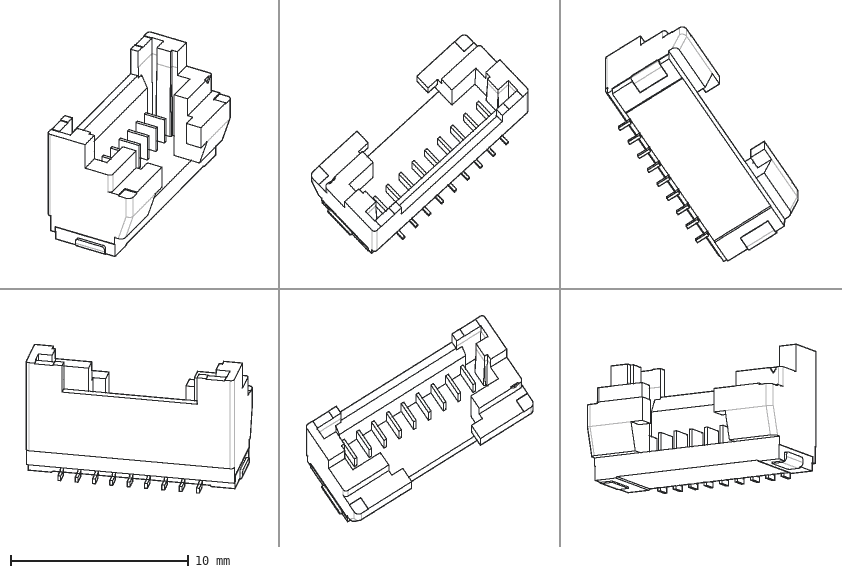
import cadquery as cq


rear_x = 0.3
rear_step_x = 0.53
base_rear_x = 0.82
base_front_x = 4.64
tower_front_x = 2.75
shoulder_x = 4.42
front_x = 5.67
slope_end_x = 5.18
top_z = 7.05
shoulder_z = 5.48
latch_z = 4.34
knee_z = 2.98
latch_bottom_z = 1.38
rear_step_z = 1.55
rear_bottom_z = 0.56
half_width = 6.0
rear_radius = 0.2
front_radius = 0.3

base_half_width = 5.97
base_top_z = 0.91
base_end_z = 0.08
base_middle_z = 0.153
base_end_inner_y = 4.62

pocket_rear_x = 0.78
key_rear_x = 1.53
key_front_x = 2.4
pocket_front_x = 3.55
pocket_half_width = 5.52
key_half_width = 4.73
pocket_front_half_width = 4.91
floor_z = latch_bottom_z
draft_start_z = 5.98
draft_angle = 1.0
opening_half_width = 3.05

notch_half_width = 3.9
notch_z = 5.4
rib_half_width = 4.26
lead_top_x = 0.74
rib_x = 1.16
lead_bottom_z = 4.51

dip_inner_y = 4.42
dip_outer_y = 5.49
dip_depth = 0.043
corner_recess_x = 4.89
corner_recess_y = 5.24
corner_recess_depth = 0.07
marker_y = 5.46
marker_half_width = 0.25
marker_height = 0.34
marker_depth = 0.09
arm_rear_x = 4.74
arm_inner_y = 2.32

contact_count = 9
row_length = 8.0
pitch = row_length / (contact_count - 1)
contact_width = 0.17
foot_height = 0.31
foot_length = 0.76
foot_bend_x = 0.54
shank_bottom_z = 0.17
shank_top_z = 0.42
blade_front_x = 2.45
blade_top_z = 2.94

clip_rear_x = 2.18
clip_front_x = 4.04
clip_outer_y = 6.12
clip_inner_y = 5.18
clip_height = 0.6
clip_bend_radius = 0.31
clip_corner_radius = 0.16

overlap = 0.12


def block(x, y, z):
    """Axis-aligned box from (low, high) pairs."""
    return (
        cq.Workplane("XY")
        .box(x[1] - x[0], y[1] - y[0], z[1] - z[0], centered=False)
        .translate((x[0], y[0], z[0]))
    )


def profile(points, half):
    """Outline in X and Z, extruded symmetrically in Y."""
    return cq.Workplane("XZ").polyline(points).close().extrude(half, both=True)


def both_ends(body):
    """A body at the +Y end together with its mirror image."""
    return body.union(body.mirror("XZ"))


def make_shell():
    """Solid stepped housing with rounded corners."""
    rear = block((rear_x, tower_front_x), (-half_width, half_width), (rear_step_z, top_z))
    rear = rear.edges("|Z and <X").fillet(rear_radius)
    middle = block((tower_front_x, shoulder_x), (-half_width, half_width), (base_top_z, shoulder_z))
    middle = middle.edges("|Z and >X").fillet(rear_radius)
    lower = block((rear_step_x, base_front_x), (-half_width, half_width), (base_top_z, rear_step_z))
    lip = block((rear_step_x, base_rear_x), (-half_width, half_width), (rear_bottom_z, base_top_z))
    front_outline = [
        (tower_front_x, latch_bottom_z),
        (slope_end_x, latch_bottom_z),
        (front_x, knee_z),
        (front_x, latch_z),
        (tower_front_x, latch_z),
    ]
    front = profile(front_outline, half_width)
    front_corners = cq.selectors.BoxSelector(
        (slope_end_x - overlap, -clip_outer_y, latch_bottom_z), (front_x + overlap, clip_outer_y, latch_z)
    )
    front = front.edges(front_corners).edges("not(|Y or |X)").fillet(front_radius)
    return rear.union(middle).union(lower).union(lip).union(front)


def make_base():
    """Narrower foot of the housing, raised slightly between its two ends."""
    rise = base_middle_z - base_end_z
    outline = [
        (-base_half_width, base_end_z),
        (-base_end_inner_y, base_end_z),
        (-base_end_inner_y + rise, base_middle_z),
        (base_end_inner_y - rise, base_middle_z),
        (base_end_inner_y, base_end_z),
        (base_half_width, base_end_z),
        (base_half_width, base_top_z),
        (-base_half_width, base_top_z),
    ]
    base = cq.Workplane("YZ").polyline(outline).close().extrude(base_front_x - base_rear_x)
    return base.translate((base_rear_x, 0, 0))


def make_pocket():
    """Keyed pocket: upright near the top, then drafted to the floor except on its front wall."""
    deep_x = pocket_front_x + overlap
    half_outline = [
        (pocket_rear_x, pocket_half_width),
        (key_rear_x, pocket_half_width),
        (key_rear_x, key_half_width),
        (key_front_x, key_half_width),
        (key_front_x, pocket_front_half_width),
        (deep_x, pocket_front_half_width),
    ]
    outline = half_outline + [(x, -y) for x, y in reversed(half_outline)]
    plane = cq.Workplane("XY", origin=(0, 0, draft_start_z))
    upper = plane.polyline(outline).close().extrude(top_z + overlap - draft_start_z)
    lower = plane.polyline(outline).close().extrude(floor_z - draft_start_z, taper=draft_angle)
    front_limit = block((0, pocket_front_x), (-half_width, half_width), (floor_z, top_z + overlap))
    pocket = upper.union(lower).intersect(front_limit)
    opening = block(
        (pocket_front_x - overlap, front_x + overlap),
        (-opening_half_width, opening_half_width),
        (floor_z, top_z),
    )
    return pocket.union(opening)


def make_rib():
    """Rib along the inside of the rear wall, with a sloped lead-in on top."""
    outline = [
        (rear_step_x, floor_z - overlap),
        (rib_x, floor_z - overlap),
        (rib_x, lead_bottom_z),
        (lead_top_x, notch_z),
        (rear_step_x, notch_z),
    ]
    return profile(outline, rib_half_width)


def make_notch():
    """Opening in the rear wall; its floor continues into the lead-in of the rib."""
    outline = [
        (rear_x - overlap, notch_z),
        (lead_top_x, notch_z),
        (rib_x, lead_bottom_z),
        (rib_x, top_z + overlap),
        (rear_x - overlap, top_z + overlap),
    ]
    return profile(outline, notch_half_width)


def make_dip():
    """Shallow dip across the top of the rear wall, beside the pocket."""
    return block(
        (rear_x, pocket_rear_x + overlap), (dip_inner_y, dip_outer_y), (top_z - dip_depth, top_z)
    )


def make_corner_recess():
    """Shallow step in the top of the front corner."""
    return block(
        (corner_recess_x, front_x), (corner_recess_y, half_width), (latch_z - corner_recess_depth, latch_z)
    )


def make_marker():
    """Shallow triangular mark in the front of the +Y shoulder, pointing down from its top edge."""
    outline = [
        (marker_y - marker_half_width, shoulder_z),
        (marker_y, shoulder_z - marker_height),
        (marker_y + marker_half_width, shoulder_z),
    ]
    mark = cq.Workplane("YZ").polyline(outline).close().extrude(marker_depth)
    return mark.translate((shoulder_x - marker_depth, 0, 0))


def make_latch_arm():
    """Arm reaching inward across the front opening."""
    return block((arm_rear_x, front_x), (arm_inner_y, opening_half_width + overlap), (knee_z, latch_z))


def make_contact():
    """Soldering foot behind the base and upright blade in the pocket."""
    foot_outline = [
        (0, 0),
        (foot_length, 0),
        (foot_length, shank_bottom_z),
        (base_rear_x + overlap, shank_bottom_z),
        (base_rear_x + overlap, shank_top_z),
        (base_rear_x, shank_top_z),
        (foot_bend_x, foot_height),
        (0, foot_height),
    ]
    foot = profile(foot_outline, contact_width / 2)
    blade = block(
        (rib_x - overlap, blade_front_x),
        (-contact_width / 2, contact_width / 2),
        (floor_z - overlap, blade_top_z),
    )
    return foot, blade


def make_clip():
    """Solder clip in the end of the base, bent under to board level."""
    clip = block((clip_rear_x, clip_front_x), (clip_inner_y, clip_outer_y), (0, clip_height))
    clip = clip.edges("|X and >Y and <Z").fillet(clip_bend_radius)
    return clip.edges("|Y and >Z").fillet(clip_corner_radius)


result = make_shell().union(make_base()).cut(make_pocket()).union(make_rib()).cut(make_notch())
result = result.cut(both_ends(make_dip())).cut(both_ends(make_corner_recess())).cut(make_marker())
result = result.union(both_ends(make_latch_arm())).union(both_ends(make_clip()))
for index in range(contact_count):
    contact_y = (index - (contact_count - 1) / 2) * pitch
    for body in make_contact():
        result = result.union(body.translate((0, contact_y, 0)))